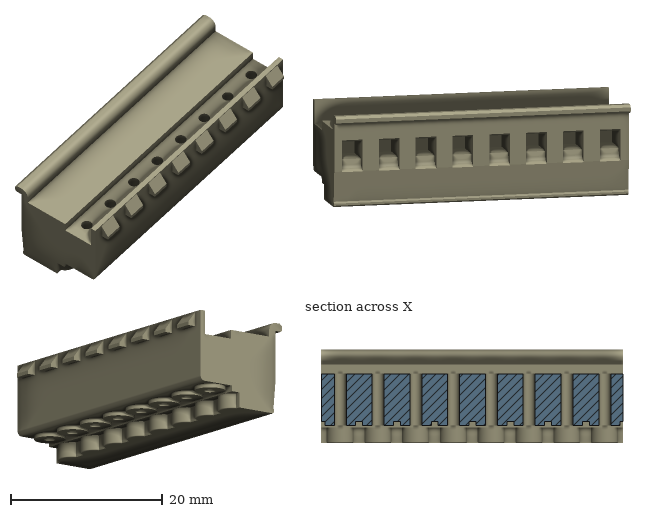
import cadquery as cq

length = 40.0
height = 12.35
total_depth = 14.7

pole_count = 8
pole_pitch = 5.0
pole_row_center = 0.05

front_x = 1.1
rail_thickness = 1.1
rail_back_x = front_x + rail_thickness
hook_bottom_z = height - rail_thickness
hook_chamfer_run = 0.4
hook_chamfer_drop = 0.3
hook_lower_chamfer = 0.25

shelf_z = 10.35
step_x = 8.5
tray_z = 9.15
rear_wall_inner_x = 12.85
rear_x = 13.55
underside_z = 2.8
rear_bottom_radius = 0.65

ledge_rear_x = 8.3
ledge_bottom_z = 2.05
plug_rear_x = 7.1
taper_top_z = 4.8
taper_bottom_x = 1.45
taper_bottom_z = 0.7
foot_x = 1.3
foot_top_z = 0.5
foot_chamfer = 0.2

key_radius = 1.9
key_foot_fillet = 0.1
key_x = ledge_rear_x - key_radius

window_width = 2.8
window_back_x = 6.0
window_bottom_z = 4.7
window_top_z = 9.0
ceiling_lip_depth = 0.35
ceiling_z = 8.75
sill_end_x = 1.8
sill_end_z = 5.1
sill_curve_radius = 0.8
steep_face_x = 2.1
steep_face_z = 5.5
floor_start_x = 2.25
floor_z = 6.25
floor_step_x = 2.75
floor_step_height = 0.1
window_clearance = 0.4
window_entry_x = front_x - window_clearance

hole_x = 10.1
hole_diameter = 1.5
pad_radius = 2.1
pad_bottom_z = 2.3

tooth_width = 2.5
tooth_edge_z = 10.85
tooth_top_z = 12.25

pole_positions = [
    pole_row_center + (i - (pole_count - 1) / 2) * pole_pitch for i in range(pole_count)
]


def extrude_along_y(profile, width, center_y):
    """Extrude a closed XZ profile by width, centred on center_y."""
    return profile.extrude(width / 2, both=True).translate((0, center_y, 0))


def make_body():
    profile = (
        cq.Workplane("XZ")
        .moveTo(hook_chamfer_run, height)
        .lineTo(front_x, height)
        .radiusArc((rail_back_x, hook_bottom_z), rail_thickness)
        .lineTo(rail_back_x, shelf_z)
        .lineTo(step_x, shelf_z)
        .lineTo(step_x, tray_z)
        .lineTo(rear_wall_inner_x, tray_z)
        .lineTo(rear_wall_inner_x, height)
        .lineTo(rear_x, height)
        .lineTo(rear_x, underside_z + rear_bottom_radius)
        .radiusArc((rear_x - rear_bottom_radius, underside_z), rear_bottom_radius)
        .lineTo(ledge_rear_x, underside_z)
        .lineTo(ledge_rear_x, ledge_bottom_z)
        .lineTo(plug_rear_x, ledge_bottom_z)
        .lineTo(plug_rear_x, 0)
        .lineTo(foot_x + foot_chamfer, 0)
        .lineTo(foot_x, foot_chamfer)
        .lineTo(foot_x, foot_top_z)
        .lineTo(taper_bottom_x, taper_bottom_z)
        .lineTo(front_x, taper_top_z)
        .lineTo(front_x, hook_bottom_z)
        .lineTo(hook_lower_chamfer, hook_bottom_z)
        .lineTo(0, hook_bottom_z + hook_lower_chamfer)
        .lineTo(0, height - hook_chamfer_drop)
        .close()
    )
    return extrude_along_y(profile, length, 0)


def make_window(center_y):
    """Wire funnel: sloped sill, concave curve, steep face, then two flat floor levels."""
    profile = (
        cq.Workplane("XZ")
        .moveTo(window_entry_x, window_top_z)
        .lineTo(front_x, window_top_z)
        .lineTo(front_x + ceiling_lip_depth, ceiling_z)
        .lineTo(window_back_x, ceiling_z)
        .lineTo(window_back_x, floor_z + floor_step_height)
        .lineTo(floor_step_x, floor_z + floor_step_height)
        .lineTo(floor_step_x, floor_z)
        .lineTo(floor_start_x, floor_z)
        .lineTo(steep_face_x, steep_face_z)
        .radiusArc((sill_end_x, sill_end_z), sill_curve_radius)
        .lineTo(front_x, window_bottom_z)
        .lineTo(window_entry_x, window_bottom_z)
        .close()
    )
    return extrude_along_y(profile, window_width, center_y)


def make_tooth(center_y):
    profile = cq.Workplane("XZ").polyline(
        [(rear_x, shelf_z), (total_depth, shelf_z), (total_depth, tooth_edge_z), (rear_x, tooth_top_z)]
    ).close()
    return extrude_along_y(profile, tooth_width, center_y)


def make_cylinder(center_x, center_y, radius, bottom_z, top_z):
    return (
        cq.Workplane("XY", origin=(center_x, center_y, bottom_z))
        .circle(radius)
        .extrude(top_z - bottom_z)
    )


def make_key(center_y):
    """Upright cylinder partly buried in the plug, rounded around its foot."""
    key = make_cylinder(key_x, center_y, key_radius, 0, ledge_bottom_z)
    return key.faces("<Z").edges().fillet(key_foot_fillet)


result = make_body()

for y in pole_positions:
    result = result.union(make_tooth(y))
    result = result.union(make_key(y))
    result = result.union(make_cylinder(hole_x, y, pad_radius, pad_bottom_z, underside_z))

for y in pole_positions:
    result = result.cut(make_window(y))
    result = result.cut(make_cylinder(hole_x, y, hole_diameter / 2, pad_bottom_z, tray_z))